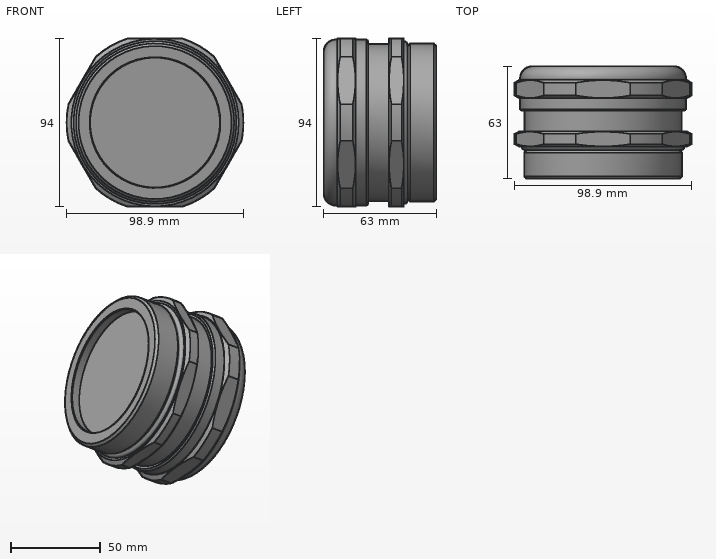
import cadquery as cq
import math

length = 63.0
across_corners = 98.9
across_flats = 94.0

socket_radius = 88.4 / 2
body_radius = 88.0 / 2
cap_radius = 93.0 / 2
neck_radius = 85.4 / 2
seal_radius = 91.0 / 2
hex_face_radius = 93.55 / 2

socket_chamfer = socket_radius - neck_radius
socket_end = 16.1
flange_start, flange_end = 18.1, 26.5
collar_start = 38.1
nut_start, nut_end = 45.1, 55.3
collar_chamfer = 1.0
cap_round_start = 56.0
cap_round = length - cap_round_start
flange_chamfer = 1.4
nut_chamfer = 1.6

bore_radius = 72.5 / 2
bore_mouth_radius = 73.2 / 2
bore_depth = 5.2
bore_mouth_depth = 0.5

corner_radius = across_corners / 2
seal_width = flange_start - socket_end


def revolve_about_y(profile):
    return profile.close().revolve(360, (0, 0, 0), (0, 1, 0))


def turned_body():
    """Socket, seal ring, body, collar and rounded cap as one solid of revolution."""
    profile = (
        cq.Workplane("XY")
        .lineTo(neck_radius, 0)
        .lineTo(socket_radius, socket_chamfer)
        .lineTo(socket_radius, socket_end - socket_chamfer)
        .lineTo(neck_radius, socket_end)
        .lineTo(seal_radius - seal_width, socket_end)
        .radiusArc((seal_radius, flange_start), -seal_width)
        .lineTo(body_radius, flange_start)
        .lineTo(body_radius, collar_start)
        .lineTo(cap_radius - collar_chamfer, collar_start)
        .lineTo(cap_radius, collar_start + collar_chamfer)
        .lineTo(cap_radius, cap_round_start)
        .radiusArc((cap_radius - cap_round, length), -cap_round)
        .lineTo(0, length)
    )
    return revolve_about_y(profile)


def hex_ring(start, end, chamfer):
    """Hexagon with flats facing +Z and -Z, its corners turned down and chamfered."""
    sharp_radius = across_flats / math.sqrt(3)
    corner_angles = [math.radians(60 * side) for side in range(6)]
    corners = [(sharp_radius * math.cos(a), sharp_radius * math.sin(a)) for a in corner_angles]
    hexagon = cq.Workplane("XZ", origin=(0, start, 0)).polyline(corners).close().extrude(start - end)
    envelope = revolve_about_y(
        cq.Workplane("XY")
        .moveTo(0, start)
        .lineTo(hex_face_radius, start)
        .lineTo(corner_radius, start + chamfer)
        .lineTo(corner_radius, end - chamfer)
        .lineTo(hex_face_radius, end)
        .lineTo(0, end)
    )
    return hexagon.intersect(envelope)


def recess():
    """Shallow blind bore with a small chamfer at its mouth."""
    return revolve_about_y(
        cq.Workplane("XY")
        .lineTo(bore_mouth_radius, 0)
        .lineTo(bore_radius, bore_mouth_depth)
        .lineTo(bore_radius, bore_depth)
        .lineTo(0, bore_depth)
    )


result = (
    turned_body()
    .union(hex_ring(flange_start, flange_end, flange_chamfer))
    .union(hex_ring(nut_start, nut_end, nut_chamfer))
    .cut(recess())
)